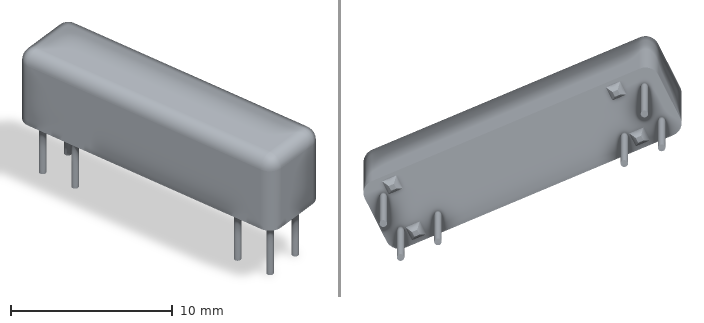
import cadquery as cq

CASE_LENGTH = 19.99
CASE_WIDTH = 4.98
CASE_HEIGHT = 5.35
CASE_RADIUS = 0.88

PIN_DIAMETER = 0.45
PIN_LENGTH = 4.1
PIN_PITCH = 2.54
PIN_OUTER_X = 3.5 * PIN_PITCH
PIN_INNER_X = 2.5 * PIN_PITCH
PIN_ROW_Y = PIN_PITCH / 2

FOOT_BASE_SIDE = 0.95
FOOT_TIP_SIDE = 0.35
FOOT_HEIGHT = 0.35
FOOT_SPACING_X = 6 * PIN_PITCH
FOOT_SHIFT_X = 0.44
FOOT_ROW_Y = 1.72


def make_case():
    """Block with rounded upright and top edges and a flat underside."""
    block = cq.Workplane("XY").box(CASE_LENGTH, CASE_WIDTH, CASE_HEIGHT, centered=(True, True, False))
    return block.edges("|Z or >Z").fillet(CASE_RADIUS)


def make_pins():
    """Pins hanging from the underside of the case."""
    pin_points = []
    for end in (-1, 1):
        pin_points.append((end * PIN_OUTER_X, -PIN_ROW_Y))
        pin_points.append((end * PIN_OUTER_X, PIN_ROW_Y))
        pin_points.append((end * PIN_INNER_X, -PIN_ROW_Y))
    return cq.Workplane("XY").pushPoints(pin_points).circle(PIN_DIAMETER / 2).extrude(-PIN_LENGTH)


def make_foot(x, y):
    """Square frustum narrowing downward from the underside of the case."""
    return (
        cq.Workplane("XY")
        .center(x, y)
        .rect(FOOT_BASE_SIDE, FOOT_BASE_SIDE)
        .workplane(offset=-FOOT_HEIGHT)
        .rect(FOOT_TIP_SIDE, FOOT_TIP_SIDE)
        .loft(ruled=True)
    )


result = make_case().union(make_pins())
for end in (-1, 1):
    for side in (-1, 1):
        foot_x = FOOT_SHIFT_X + end * FOOT_SPACING_X / 2
        result = result.union(make_foot(foot_x, side * FOOT_ROW_Y))